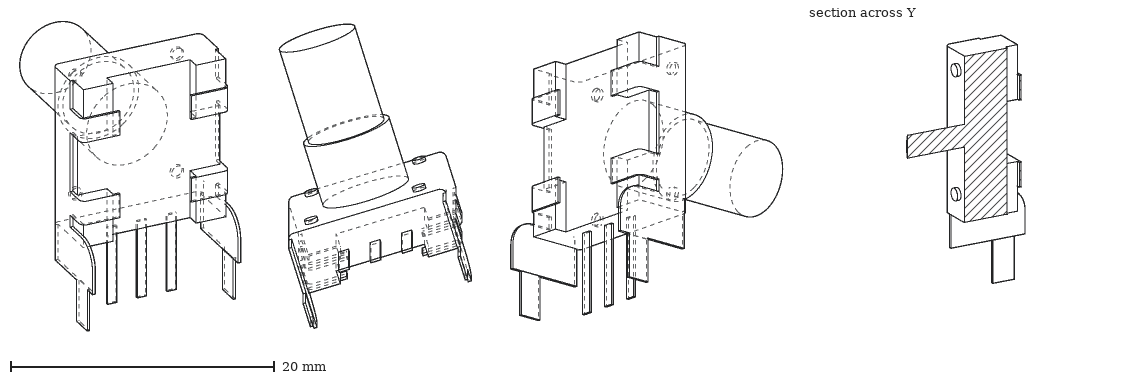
import cadquery as cq


SHAFT_DIAMETER = 6.0
SHAFT_REACH = 12.5
BUSHING_DIAMETER = 6.8
BUSHING_LENGTH = 5.0

RIVET_DIAMETER = 1.0
RIVET_HEIGHT = 0.3
RIVET_SPACING_Y = 8.55
RIVET_SPACING_Z = 9.99

TOP_Z = 6.4
HOUSING_BOTTOM_Z = -7.0
HOUSING_WIDTH = 12.0
HOUSING_BACK_X = 4.8
CHANNEL_DEPTH = 1.03
CHANNEL_FLOOR_X = HOUSING_BACK_X - CHANNEL_DEPTH
UPRIGHT_CHANNEL_WIDTH = 7.0

COVER_WIDTH = 12.5
COVER_FRONT_THICKNESS = 0.2
SIDE_THICKNESS = (COVER_WIDTH - HOUSING_WIDTH) / 2
COVER_SIDE_DEPTH = 3.0
BEND_RADIUS = 0.5

TAB_HEIGHT = 2.0
UPPER_TAB_BOTTOM_Z = 1.99
LOWER_TAB_TOP_Z = -3.0
LOWER_TAB_BOTTOM_Z = LOWER_TAB_TOP_Z - TAB_HEIGHT
TAB_THICKNESS = 0.2
TAB_BACK_X = HOUSING_BACK_X + TAB_THICKNESS
TAB_GAP = 6.0

BRACKET_FRONT_X = 0.4
BRACKET_BACK_X = 6.9
BRACKET_TOP_Z = -6.0
BRACKET_BOTTOM_Z = -9.99
BRACKET_CORNER_RADIUS = 2.0
LEG_FRONT_X = 4.1
LEG_WIDTH = 1.9
LEG_THICKNESS = 0.2

LEG_END_Z = -13.5
TERMINAL_COUNT = 3
TERMINAL_PITCH = 2.5
TERMINAL_WIDTH = 0.8
TERMINAL_THICKNESS = 0.2
TERMINAL_FRONT_X = 2.4
TERMINAL_EMBED = 1.0


def box_between(x_range, y_range, z_range):
    """Axis-aligned box given by its (low, high) limits on each axis."""
    lows, highs = zip(x_range, y_range, z_range)
    sizes = [high - low for low, high in zip(lows, highs)]
    return cq.Workplane("XY").box(*sizes, centered=False).translate(lows)


def centered_range(width, center=0.0):
    return (center - width / 2, center + width / 2)


def forward_cylinder(diameter, length):
    """Cylinder from just inside the cover face, reaching forward along -X."""
    return (
        cq.Workplane("YZ", origin=(COVER_FRONT_THICKNESS, 0, 0))
        .circle(diameter / 2)
        .extrude(-length - COVER_FRONT_THICKNESS)
    )


def make_upright_channel():
    return box_between(
        (CHANNEL_FLOOR_X, HOUSING_BACK_X),
        centered_range(UPRIGHT_CHANNEL_WIDTH),
        (HOUSING_BOTTOM_Z, TOP_Z),
    )


def make_housing():
    block = box_between(
        (COVER_FRONT_THICKNESS, HOUSING_BACK_X),
        centered_range(HOUSING_WIDTH),
        (HOUSING_BOTTOM_Z, TOP_Z),
    )
    cross_channel = box_between(
        (CHANNEL_FLOOR_X, HOUSING_BACK_X),
        centered_range(HOUSING_WIDTH),
        (LOWER_TAB_TOP_Z, UPPER_TAB_BOTTOM_Z),
    )
    return block.cut(make_upright_channel()).cut(cross_channel)


def make_cover():
    """Front plate and side walls, filled where they enclose the housing."""
    return (
        box_between((0, COVER_SIDE_DEPTH), centered_range(COVER_WIDTH), (HOUSING_BOTTOM_Z, TOP_Z))
        .edges("|Z and <X")
        .fillet(BEND_RADIUS)
    )


def make_tab_pair(bottom_z):
    """Left and right clamping tabs at one height, with the housing corners they enclose."""
    z_range = (bottom_z, bottom_z + TAB_HEIGHT)
    band = (
        box_between((COVER_SIDE_DEPTH, TAB_BACK_X), centered_range(COVER_WIDTH), z_range)
        .edges("|Z and >X")
        .fillet(BEND_RADIUS)
    )
    gap_between_tabs = box_between(
        (HOUSING_BACK_X, TAB_BACK_X), centered_range(TAB_GAP), z_range
    )
    return band.cut(gap_between_tabs).cut(make_upright_channel())


def make_bracket():
    """Bracket plate and leg on the -Y side, flush with the outside of the cover."""
    outer_y = -COVER_WIDTH / 2
    plate = (
        box_between(
            (BRACKET_FRONT_X, BRACKET_BACK_X),
            (outer_y, outer_y + SIDE_THICKNESS),
            (BRACKET_BOTTOM_Z, BRACKET_TOP_Z),
        )
        .edges("|Y and >X and >Z")
        .fillet(BRACKET_CORNER_RADIUS)
    )
    leg = box_between(
        (LEG_FRONT_X, LEG_FRONT_X + LEG_WIDTH),
        (outer_y, outer_y + LEG_THICKNESS),
        (LEG_END_Z, BRACKET_BOTTOM_Z),
    )
    return plate.union(leg)


def make_terminal(center_y):
    return box_between(
        (TERMINAL_FRONT_X, TERMINAL_FRONT_X + TERMINAL_THICKNESS),
        centered_range(TERMINAL_WIDTH, center_y),
        (LEG_END_Z, HOUSING_BOTTOM_Z + TERMINAL_EMBED),
    )


result = make_housing().union(make_cover())

for tab_bottom_z in (UPPER_TAB_BOTTOM_Z, LOWER_TAB_BOTTOM_Z):
    result = result.union(make_tab_pair(tab_bottom_z))

result = result.union(forward_cylinder(BUSHING_DIAMETER, BUSHING_LENGTH))
result = result.union(forward_cylinder(SHAFT_DIAMETER, SHAFT_REACH))

for side_y in (-1, 1):
    for side_z in (-1, 1):
        rivet_position = (0, side_y * RIVET_SPACING_Y / 2, side_z * RIVET_SPACING_Z / 2)
        result = result.union(forward_cylinder(RIVET_DIAMETER, RIVET_HEIGHT).translate(rivet_position))

bracket = make_bracket()
result = result.union(bracket).union(bracket.mirror("XZ"))

for index in range(TERMINAL_COUNT):
    terminal_y = (index - (TERMINAL_COUNT - 1) / 2) * TERMINAL_PITCH
    result = result.union(make_terminal(terminal_y))